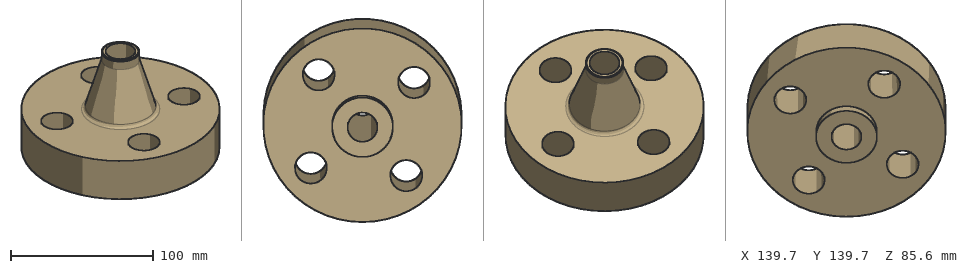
import cadquery as cq
import math

flange_diameter = 139.7
flange_thickness = 31.7
total_height = 85.6

face_diameter = 42.9
face_height = 6.3

hub_diameter = 49.7
hub_fillet_radius = 2.7
neck_diameter = 26.7
neck_height = 6.8
neck_chamfer_width = 0.8
neck_chamfer_height = 0.4

bore_diameter = 21.0

bolt_hole_count = 4
bolt_hole_diameter = 22.3
bolt_circle_diameter = 95.2

flange_radius = flange_diameter / 2
face_radius = face_diameter / 2
hub_radius = hub_diameter / 2
neck_radius = neck_diameter / 2
bore_radius = bore_diameter / 2

bottom = -total_height / 2
top = total_height / 2
flange_bottom = bottom + face_height
flange_top = flange_bottom + flange_thickness
hub_bottom = flange_top + hub_fillet_radius
neck_bottom = top - neck_height


def make_turned_body():
    """Revolve the half profile, bore included, about the Z axis."""
    fillet_centre_radius = hub_radius + hub_fillet_radius
    fillet_offset = hub_fillet_radius * math.sqrt(0.5)
    fillet_middle = (fillet_centre_radius - fillet_offset, hub_bottom - fillet_offset)

    profile = (
        cq.Workplane("XZ")
        .moveTo(bore_radius, bottom)
        .lineTo(face_radius, bottom)
        .lineTo(face_radius, flange_bottom)
        .lineTo(flange_radius, flange_bottom)
        .lineTo(flange_radius, flange_top)
        .lineTo(fillet_centre_radius, flange_top)
        .threePointArc(fillet_middle, (hub_radius, hub_bottom))
        .lineTo(neck_radius, neck_bottom)
        .lineTo(neck_radius, top - neck_chamfer_height)
        .lineTo(neck_radius - neck_chamfer_width, top)
        .lineTo(bore_radius, top)
        .close()
    )
    return profile.revolve(360, (0, 0, 0), (0, 1, 0))


def make_bolt_holes():
    """Cylinders through the flange, evenly spaced on the bolt circle."""
    return (
        cq.Workplane("XY", origin=(0, 0, flange_bottom))
        .polarArray(bolt_circle_diameter / 2, 0, 360, bolt_hole_count)
        .circle(bolt_hole_diameter / 2)
        .extrude(flange_thickness)
    )


result = make_turned_body().cut(make_bolt_holes())